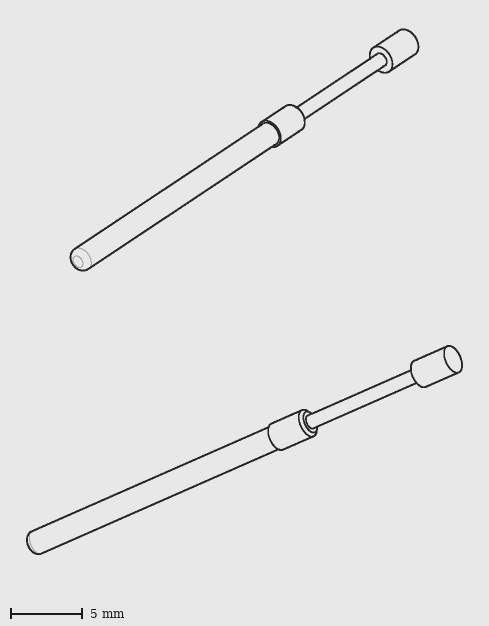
import cadquery as cq

total_length = 37.8
head_diameter = 2.0
head_length = 3.0
plunger_diameter = 1.0
collar_diameter = head_diameter
collar_length = 3.0
collar_chamfer = 0.23
barrel_diameter = 1.7
barrel_length = 22.0
tail_fillet = 0.4

tail_y = -total_length / 2
collar_start_y = tail_y + barrel_length
collar_end_y = collar_start_y + collar_length
head_end_y = total_length / 2
head_start_y = head_end_y - head_length


def cylinder(diameter, start_y, end_y):
    """Solid cylinder on the Y axis between two Y positions."""
    plane = cq.Workplane("XZ").workplane(offset=-start_y)
    return plane.circle(diameter / 2).extrude(start_y - end_y)


barrel = cylinder(barrel_diameter, tail_y, collar_start_y).faces("<Y").edges().fillet(tail_fillet)
collar = cylinder(collar_diameter, collar_start_y, collar_end_y).faces(">Y").edges().chamfer(collar_chamfer)
plunger = cylinder(plunger_diameter, collar_end_y, head_start_y)
head = cylinder(head_diameter, head_start_y, head_end_y)

result = barrel.union(collar).union(plunger).union(head)